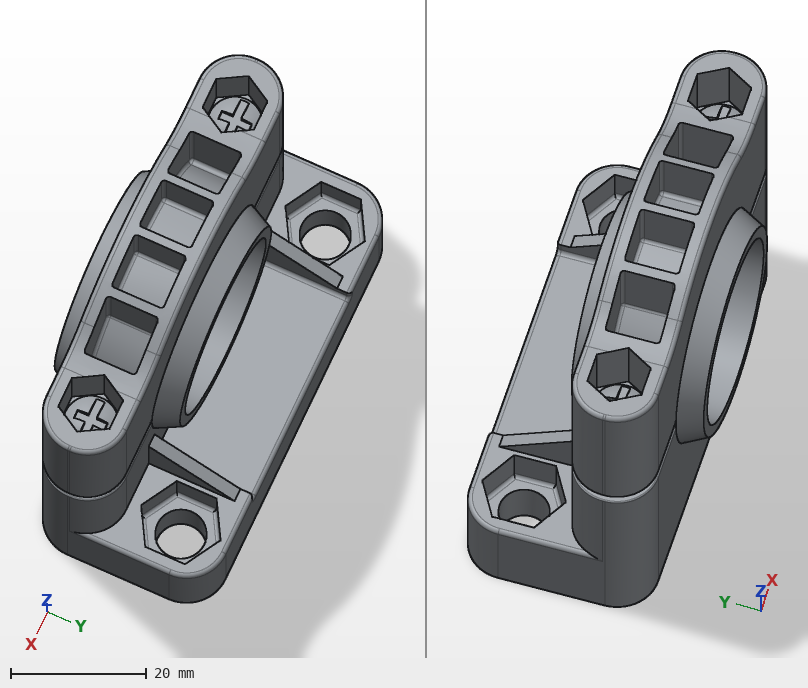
import cadquery as cq
import math

LENGTH = 66.55
THICKNESS = 13.0
END_RADIUS = 6.3
TOP_Z = 58.7
SHOULDER_Z = 52.45
HUMP_BLEND_RADIUS = 13.3
EDGE_FILLET = 0.65
HALF_LENGTH = LENGTH / 2
BACK_FACE_Y = THICKNESS / 2

BORE_Z = 30.0
LINER_OUTER_RADIUS = 18.0
LINER_RIM_RADIUS = 16.1
LINER_BORE_RADIUS = 14.25
LINER_WIDTH = 20.35
HALF_GAP = 0.65
GAP_EDGE_FILLET = 0.2
UPPER_BOTTOM_Z = BORE_Z + HALF_GAP
LOWER_TOP_Z = BORE_Z - HALF_GAP

PAD_INSET = 0.45
PAD_HEIGHT = 0.3
PAD_INNER_X = 19.7
PAD_BOTTOM_Z = UPPER_BOTTOM_Z - PAD_HEIGHT
BOSS_DIAMETER = 8.0

HOLE_X = 25.4
WELL_FLATS = 8.3
WELL_DEPTH = 9.3
HEAD_DIAMETER = 8.1
DOME_HEIGHT = 1.3
SLOT_WIDTH = 1.3
CROSS_LENGTH = 4.85
SLOT_DEPTH = 1.0

POCKET_COUNT = 4
POCKET_PITCH = 9.8
POCKET_WIDTH = 8.4
POCKET_FLOOR_RADIUS = 20.3
POCKET_FILLET = 0.5

BASE_BACK_Y = 22.595
BASE_TOP_Z = 12.9
BASE_HOLE_Y = 14.65
BASE_HOLE_DIAMETER = 7.6
NUT_FLATS = 11.2
NUT_POCKET_DEPTH = 5.65
NUT_FLOOR_FILLET = 0.6

RECESS_HALF_WIDTH = 17.05
RECESS_DEPTH = 2.0
RECESS_FLOOR_Z = BASE_TOP_Z - RECESS_DEPTH
RIB_THICKNESS = 2.05
RIB_FOOT_Y = 20.4
RIB_TOP_Z = 21.3

CUT_MARGIN = 3.3


def rounded_plate(bottom_z, top_z):
    """Block with the clamp footprint, its four vertical corners rounded."""
    return (
        cq.Workplane("XY", origin=(0, 0, bottom_z))
        .rect(LENGTH, THICKNESS)
        .extrude(top_z - bottom_z)
        .edges("|Z")
        .fillet(END_RADIUS)
    )


def y_cylinder(radius, length):
    """Cylinder about the bore axis, centred on the clamp mid-plane."""
    return cq.Workplane("XZ", origin=(0, 0, BORE_Z)).circle(radius).extrude(length / 2, both=True)


def hexagon(flats, corner_angle):
    """Corner points of a hexagon from its width across flats."""
    corner_radius = flats / math.sqrt(3)
    angles = [math.radians(corner_angle + 60 * i) for i in range(6)]
    return [(corner_radius * math.cos(a), corner_radius * math.sin(a)) for a in angles]


def hump_profile():
    """Front outline of the upper half: a hump concentric with the bore, blended into flat shoulders."""
    hump_radius = TOP_Z - BORE_Z
    centre_distance = hump_radius + HUMP_BLEND_RADIUS
    blend_centre_z = SHOULDER_Z + HUMP_BLEND_RADIUS
    blend_x = math.sqrt(centre_distance**2 - (blend_centre_z - BORE_Z) ** 2)
    tangent_x = blend_x * hump_radius / centre_distance
    tangent_z = BORE_Z + (blend_centre_z - BORE_Z) * hump_radius / centre_distance
    half_turn = math.atan2(blend_x - tangent_x, blend_centre_z - tangent_z) / 2
    middle_x = blend_x - HUMP_BLEND_RADIUS * math.sin(half_turn)
    middle_z = blend_centre_z - HUMP_BLEND_RADIUS * math.cos(half_turn)
    return (
        cq.Workplane("XZ")
        .moveTo(-HALF_LENGTH, UPPER_BOTTOM_Z)
        .lineTo(-HALF_LENGTH, SHOULDER_Z)
        .lineTo(-blend_x, SHOULDER_Z)
        .threePointArc((-middle_x, middle_z), (-tangent_x, tangent_z))
        .threePointArc((0, TOP_Z), (tangent_x, tangent_z))
        .threePointArc((middle_x, middle_z), (blend_x, SHOULDER_Z))
        .lineTo(HALF_LENGTH, SHOULDER_Z)
        .lineTo(HALF_LENGTH, UPPER_BOTTOM_Z)
        .close()
    )


def upper_blank():
    """Upper half without openings, its top and gap edges rounded."""
    blank = hump_profile().extrude(THICKNESS / 2, both=True)
    blank = blank.edges("|Z").fillet(END_RADIUS)
    blank = blank.edges("not(|Y or |Z or <Z)").fillet(EDGE_FILLET)
    return blank.faces("<Z").edges().fillet(GAP_EDGE_FILLET)


def hump_pocket(x):
    """Cutter for one pocket whose floor is concentric with the bore."""
    block_height = TOP_Z - BORE_Z + CUT_MARGIN
    block = cq.Workplane("XY", origin=(x, 0, BORE_Z)).rect(POCKET_WIDTH, POCKET_WIDTH).extrude(block_height)
    cutter = block.cut(y_cylinder(POCKET_FLOOR_RADIUS, 2 * THICKNESS))
    return cutter.edges("not >Z").fillet(POCKET_FILLET)


def screw_well(x):
    """Cutter for a hexagonal well with corners toward +X and -X; a slotted domed head stands on its floor."""
    floor_z = SHOULDER_Z - WELL_DEPTH
    well = cq.Workplane("XY", origin=(x, 0, floor_z)).polyline(hexagon(WELL_FLATS, 0)).close()
    well = well.extrude(WELL_DEPTH + CUT_MARGIN)
    head_radius = HEAD_DIAMETER / 2
    dome_radius = (head_radius**2 + DOME_HEIGHT**2) / (2 * DOME_HEIGHT)
    dome = cq.Workplane("XY", origin=(x, 0, floor_z + DOME_HEIGHT - dome_radius)).sphere(dome_radius)
    slot_plane = cq.Workplane("XY", origin=(x, 0, floor_z + DOME_HEIGHT - SLOT_DEPTH))
    long_slot = slot_plane.rect(HEAD_DIAMETER, SLOT_WIDTH).extrude(SLOT_DEPTH)
    cross_slot = slot_plane.rect(SLOT_WIDTH, CROSS_LENGTH).extrude(SLOT_DEPTH)
    return well.cut(dome.cut(long_slot.union(cross_slot)))


def pad_and_boss(side):
    """Raised pad under one end of the upper half, with the boss that bridges the gap."""
    pad_length = HALF_LENGTH - PAD_INSET - PAD_INNER_X
    pad_x = side * (PAD_INNER_X + pad_length / 2)
    pad = (
        cq.Workplane("XY", origin=(pad_x, 0, PAD_BOTTOM_Z))
        .rect(pad_length, THICKNESS - 2 * PAD_INSET)
        .extrude(PAD_HEIGHT)
        .edges("|Z and " + (">X" if side > 0 else "<X"))
        .fillet(END_RADIUS - PAD_INSET)
    )
    boss = (
        cq.Workplane("XY", origin=(side * HOLE_X, 0, LOWER_TOP_Z))
        .circle(BOSS_DIAMETER / 2)
        .extrude(UPPER_BOTTOM_Z - LOWER_TOP_Z)
    )
    return pad.union(boss)


def base():
    """Mounting base with rounded back corners and top edge, and a recess across its middle."""
    block = (
        cq.Workplane("XY")
        .rect(LENGTH, BASE_BACK_Y, centered=(True, False))
        .extrude(BASE_TOP_Z)
        .edges("|Z and >Y")
        .fillet(END_RADIUS)
    )
    recess = (
        cq.Workplane("XY", origin=(0, 0, RECESS_FLOOR_Z))
        .rect(2 * RECESS_HALF_WIDTH, 2 * LENGTH)
        .extrude(RECESS_DEPTH)
    )
    block = block.cut(recess)
    recess_floor_edges = cq.selectors.BoxSelector(
        (-RECESS_HALF_WIDTH - 0.05, 0.65, RECESS_FLOOR_Z - 0.05),
        (RECESS_HALF_WIDTH + 0.05, BASE_BACK_Y - 0.65, RECESS_FLOOR_Z + 0.05),
    )
    block = block.edges(recess_floor_edges).fillet(EDGE_FILLET)
    return block.edges(">Y and (not |Z)").edges("not <Z").fillet(EDGE_FILLET)


def rib(side):
    """Triangular gusset beside the recess, flush with the recess wall."""
    slope = (RIB_TOP_Z - BASE_TOP_Z) / (RIB_FOOT_Y - BACK_FACE_Y)
    return (
        cq.Workplane("YZ", origin=(side * (RECESS_HALF_WIDTH + RIB_THICKNESS / 2), 0, 0))
        .moveTo(0, RECESS_FLOOR_Z)
        .lineTo(0, RIB_TOP_Z + slope * BACK_FACE_Y)
        .lineTo(RIB_FOOT_Y, BASE_TOP_Z)
        .lineTo(RIB_FOOT_Y, RECESS_FLOOR_Z)
        .close()
        .extrude(RIB_THICKNESS / 2, both=True)
    )


def nut_pocket(x):
    """Cutter for a mounting hole and its hexagonal pocket with corners toward +Y and -Y."""
    pocket = (
        cq.Workplane("XY", origin=(x, BASE_HOLE_Y, BASE_TOP_Z - NUT_POCKET_DEPTH))
        .polyline(hexagon(NUT_FLATS, 30))
        .close()
        .extrude(NUT_POCKET_DEPTH + CUT_MARGIN)
        .faces("<Z")
        .edges()
        .fillet(NUT_FLOOR_FILLET)
    )
    hole = cq.Workplane("XY", origin=(x, BASE_HOLE_Y, 0)).circle(BASE_HOLE_DIAMETER / 2).extrude(BASE_TOP_Z)
    return pocket.union(hole)


def lower_half():
    """Lower clamp half with its base, ribs and mounting holes."""
    half = base()
    for side in (-1, 1):
        half = half.union(rib(side))
    plate = rounded_plate(0, LOWER_TOP_Z).faces(">Z").edges().fillet(GAP_EDGE_FILLET)
    half = half.union(plate)
    for side in (-1, 1):
        half = half.cut(nut_pocket(side * HOLE_X))
    return half


def upper_half():
    """Upper clamp half with pockets, screw wells, pads and bosses."""
    half = upper_blank()
    for index in range(POCKET_COUNT):
        half = half.cut(hump_pocket((index - (POCKET_COUNT - 1) / 2) * POCKET_PITCH))
    for side in (-1, 1):
        half = half.cut(screw_well(side * HOLE_X))
        half = half.union(pad_and_boss(side))
    return half


def clamp_body():
    """Both clamp halves joined through the bosses, bored to seat the liner."""
    body = lower_half().union(upper_half())
    return body.cut(y_cylinder(LINER_OUTER_RADIUS, 2 * LENGTH))


def liner_body():
    """Liner ring filling the seat, tapered where it stands out on both sides."""
    half_width = LINER_WIDTH / 2
    return (
        cq.Workplane("XY")
        .moveTo(LINER_BORE_RADIUS, -half_width)
        .lineTo(LINER_RIM_RADIUS, -half_width)
        .lineTo(LINER_OUTER_RADIUS, -BACK_FACE_Y)
        .lineTo(LINER_OUTER_RADIUS, BACK_FACE_Y)
        .lineTo(LINER_RIM_RADIUS, half_width)
        .lineTo(LINER_BORE_RADIUS, half_width)
        .close()
        .revolve(360, (0, 0, 0), (0, 1, 0))
        .translate((0, 0, BORE_Z))
    )


clamp = clamp_body()
liner = liner_body()
result = cq.Compound.makeCompound([clamp.val(), liner.val()])